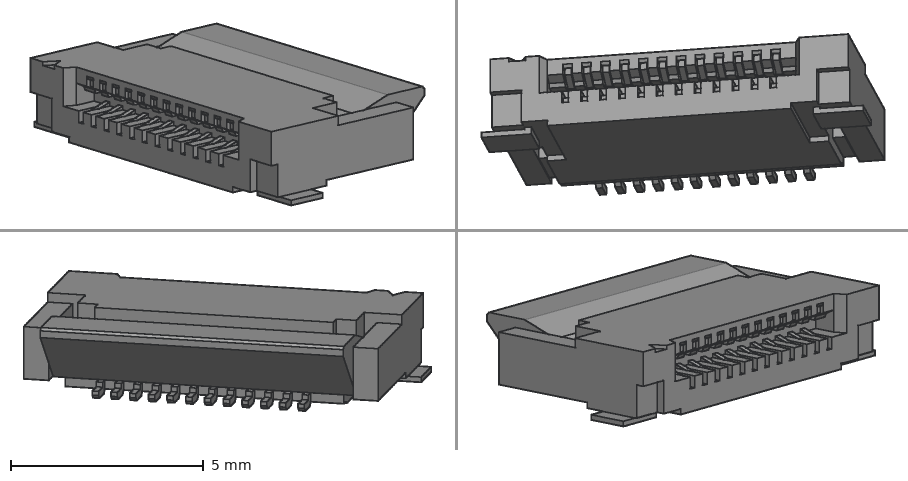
import cadquery as cq


overall_width = 10.1
total_depth = 5.9
total_height = 2.0

body_half = 4.74
body_depth = 2.31
core_half = 3.73
core_depth = 3.15
tongue_half = 3.19
tongue_depth = 3.49
base_bottom = 0.04
base_rear = 4.5
base_narrow_half = 3.22
base_narrow_depth = 2.51
side_bottom = 0.19
rear_bottom = 0.34
side_low_depth = 1.91
underside_ramp = (4.2, 4.28)
underside_ramp_top = 0.1

arm_inner = 4.07
arm_rear = 4.91
arm_top = 1.75
notch_inner = 3.91
notch_depth = 0.22
notch_top = 1.08

mouth_half = 3.44
slot_half = 3.29
mouth_depth = 0.31
slot_depth = 0.93
slot_floor = 0.97
slot_ceiling = 1.32
lead_in = [(mouth_depth, 1.57), (0.58, 1.43), (0.63, slot_ceiling)]

contact_count = 12
contact_row_length = 5.5
contact_pitch = contact_row_length / (contact_count - 1)
contact_width = 0.17
groove_floor = 0.66
beam_front = 0.19
beam_front_top = 0.85
beam_rear_top = 1.07
upper_groove_width = 0.24
upper_groove_top = 1.84
upper_groove_slope_bottom = 1.75
upper_groove_slope_run = 0.05
upper_beam_front = 0.39
upper_beam_nose = 1.57
upper_beam_tip = (0.84, 1.34)
tail_rear = 5.19
tail_top = 0.21
tail_neck = 4.75
tail_chamfer = 0.1
tail_heel = 4.6

pad_front = 0.4
pad_rear = 1.5
pad_top = 0.14

latch_half = 4.05
latch_edge_chamfer = 0.07
latch_rear_low = 1.75
latch_flat_front = 4.63
latch_slope_front = (3.57, 1.66)
latch_front = 3.06

mark_center = -4.02
mark_width = 0.45
mark_length = 0.4
mark_depth = 0.1


def box(x0, x1, y0, y1, z0, z1):
    """Block between two opposite corners."""
    return cq.Workplane("XY").box(x1 - x0, y1 - y0, z1 - z0, centered=False).translate((x0, y0, z0))


def side_profile(points, width, center=0.0):
    """Prism of a (Y, Z) outline, spread evenly along X about its center."""
    prism = cq.Workplane("YZ").polyline(points).close().extrude(width / 2, both=True)
    return prism.translate((center, 0, 0))


def mirrored(solid):
    """The solid together with its mirror image across X = 0."""
    return solid.union(solid.mirror("YZ"))


def make_housing():
    core = box(-core_half, core_half, 0, core_depth, base_bottom, total_height)
    tongue = box(-tongue_half, tongue_half, 0, tongue_depth, base_bottom, total_height)
    ramp_start, ramp_end = underside_ramp
    base = side_profile(
        [
            (0, base_bottom),
            (ramp_start, base_bottom),
            (ramp_end, underside_ramp_top),
            (base_rear, underside_ramp_top),
            (base_rear, rear_bottom),
            (0, rear_bottom),
        ],
        2 * core_half,
    )
    front = box(-body_half, body_half, 0, side_low_depth, side_bottom, total_height)
    middle = box(-body_half, body_half, 0, body_depth, rear_bottom, total_height)
    arm = box(arm_inner, body_half, 0, arm_rear, rear_bottom, arm_top)
    housing = core.union(tongue).union(base).union(front).union(middle).union(mirrored(arm))

    base_relief = box(base_narrow_half, body_half, 0, base_narrow_depth, 0, side_bottom)
    corner_notch = box(notch_inner, body_half, 0, notch_depth, 0, notch_top)
    return housing.cut(mirrored(base_relief)).cut(mirrored(corner_notch))


def make_latch():
    return side_profile(
        [
            (latch_front, rear_bottom),
            (total_depth - (latch_rear_low - rear_bottom), rear_bottom),
            (total_depth, latch_rear_low),
            (total_depth, total_height - latch_edge_chamfer),
            (total_depth - latch_edge_chamfer, total_height),
            (latch_flat_front, total_height),
            latch_slope_front,
            (latch_front, latch_slope_front[1] - (latch_slope_front[0] - latch_front)),
        ],
        2 * latch_half,
    )


def make_mouth():
    """Flared opening at the front and the cable slot behind it."""
    flare = (
        cq.Workplane("XY", origin=(0, 0, slot_floor))
        .polyline([(-mouth_half, 0), (mouth_half, 0), (slot_half, mouth_depth), (-slot_half, mouth_depth)])
        .close()
        .extrude(total_height - slot_floor)
    )
    slot = side_profile(
        [(mouth_depth, slot_floor), *lead_in, (slot_depth, slot_ceiling), (slot_depth, slot_floor)],
        2 * slot_half,
    )
    return flare.union(slot)


def make_grooves(x):
    """Grooves in the slot floor and ceiling that house one contact."""
    lower = box(x - contact_width / 2, x + contact_width / 2, 0, slot_depth, groove_floor, slot_floor)
    upper = side_profile(
        [
            (mouth_depth, slot_ceiling),
            (mouth_depth, upper_groove_top),
            (mouth_depth + upper_groove_slope_run, upper_groove_slope_bottom),
            (slot_depth, upper_groove_slope_bottom),
            (slot_depth, slot_ceiling),
        ],
        upper_groove_width,
        x,
    )
    return lower.union(upper)


def make_contact(x):
    """Lower spring beam, upper beam and solder tail of one contact."""
    lower_beam = side_profile(
        [
            (beam_front, groove_floor),
            (beam_front, beam_front_top),
            (slot_depth, beam_rear_top),
            (slot_depth, groove_floor),
        ],
        contact_width,
        x,
    )
    upper_beam = side_profile(
        [
            (upper_beam_front, upper_groove_slope_bottom),
            (upper_beam_front, upper_beam_nose),
            upper_beam_tip,
            (slot_depth, upper_beam_tip[1]),
            (slot_depth, upper_groove_slope_bottom),
        ],
        contact_width,
        x,
    )
    tail = side_profile(
        [
            (base_rear, rear_bottom),
            (base_rear, tail_chamfer),
            (tail_heel, 0),
            (tail_rear - tail_chamfer, 0),
            (tail_rear, tail_chamfer),
            (tail_rear, tail_top),
            (tail_neck, tail_top),
            (tail_neck, rear_bottom),
        ],
        contact_width,
        x,
    )
    return lower_beam.union(upper_beam).union(tail)


def make_pad():
    """Flat solder pad with a riser up into the housing."""
    plate = box(core_half, overall_width / 2, pad_front, pad_rear, 0, pad_top)
    riser = box(core_half, notch_inner, pad_front, pad_rear, 0, side_bottom)
    return plate.union(riser)


def make_pin_one_mark():
    return (
        cq.Workplane("XY", origin=(0, 0, total_height - mark_depth))
        .polyline(
            [
                (mark_center - mark_width / 2, 0),
                (mark_center + mark_width / 2, 0),
                (mark_center, mark_length),
            ]
        )
        .close()
        .extrude(mark_depth)
    )


result = make_housing().union(make_latch()).cut(make_mouth())
for i in range(contact_count):
    contact_x = i * contact_pitch - contact_row_length / 2
    result = result.cut(make_grooves(contact_x)).union(make_contact(contact_x))
result = result.union(mirrored(make_pad())).cut(make_pin_one_mark())